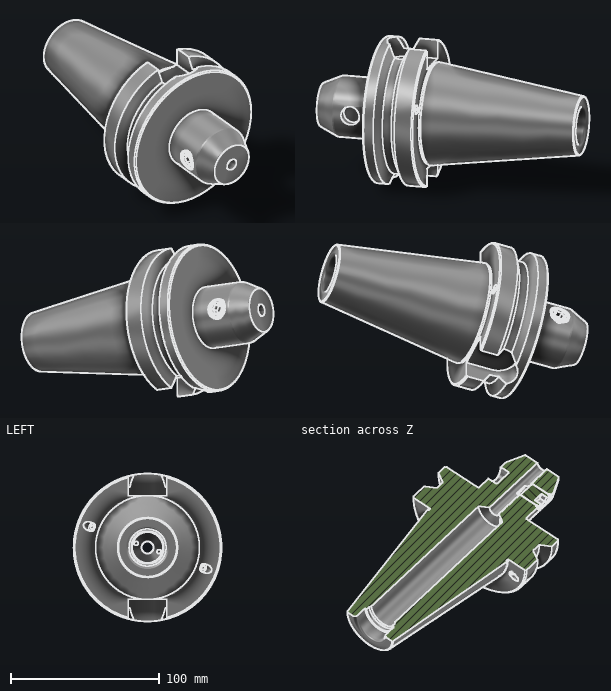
import cadquery as cq
import math

TOTAL_LENGTH = 181.8

TAPER_LENGTH = 102.2
TAPER_RADIUS = 35.0
TAPER_SLOPE = 7 / 48
TAPER_END_RADIUS = TAPER_RADIUS - TAPER_SLOPE * TAPER_LENGTH
TAPER_END_CHAMFER = 0.5
NECK_START = 103.3
NECK_RADIUS = 34.4

FLANGE_START = 104.7
FLANGE_END = 139.8
FLANGE_RADIUS = 50.0
FLANGE_CHAMFER = 0.9
GROOVE_CENTER = 124.7
GROOVE_FLOOR_RADIUS = 42.5
GROOVE_FLOOR_WIDTH = 6.2
GROOVE_WALL_ANGLE = 30.0

SLOT_HALF_WIDTH = 12.9
SLOT_FLOOR_HEIGHT = 35.0
SLOT_END = 135.8

NOSE_RADIUS = 20.9
NOSE_CONE_START = 168.7
NOSE_END_RADIUS = 15.3
NOSE_CONE_END = 181.0
NOSE_CHAMFER = 0.5
NOSE_BLEND_RADIUS = 2.7

COUNTERBORE_RADIUS = 12.5
COUNTERBORE_DEPTH = 10.4
COUNTERBORE_ROUNDING = 2.0
PILOT_RADIUS = 11.0
PILOT_END = 13.0
REAR_BORE_RADIUS = 10.4
REAR_BORE_START = 14.4
THROUGH_RADIUS = 4.0
BORE_CONE_START = 127.3
BORE_CONE_HALF_ANGLE = 59.0

CHANNEL_ROLL = 20.0
CHANNEL_SLANT = 45.0
CHANNEL_FACE_RADIUS = 41.8
CHANNEL_RADIUS = 1.36
CHANNEL_INNER_RADIUS = 8.2
CHANNEL_MOUTH_RADIUS = 2.9
CHANNEL_MOUTH_DEPTH = 2.7

SCREW_X = 159.3
SCREW_RADIUS = 6.0
SCREW_TOP = 20.7
SCREW_TIP = 4.7
SCREW_CHAMFER = 0.5
SCREW_HOLE_MOUTH_RADIUS = 6.9
SCREW_HOLE_MOUTH_FLOOR = 18.9
SOCKET_WIDTH = 6.0
SOCKET_DEPTH = 5.5
SOCKET_CHAMFER_RADIUS = 4.2
SOCKET_CHAMFER_DEPTH = 1.0

BALANCE_X = 156.5
BALANCE_RADIUS = 6.4
BALANCE_FLOOR = 13.6


def revolved(outline):
    """Solid of revolution about X from a list of (x, radius) points."""
    return cq.Workplane("XY").polyline(outline).close().revolve(360, (0, 0, 0), (1, 0, 0))


def cylinder(radius, length, start, direction):
    return cq.Workplane(cq.Solid.makeCylinder(radius, length, cq.Vector(*start), cq.Vector(*direction)))


def make_shank():
    """Taper and neck, reaching up to the flange."""
    return revolved([
        (0, 0),
        (0, TAPER_END_RADIUS - TAPER_END_CHAMFER),
        (TAPER_END_CHAMFER, TAPER_END_RADIUS + TAPER_SLOPE * TAPER_END_CHAMFER),
        (TAPER_LENGTH, TAPER_RADIUS),
        (NECK_START, TAPER_RADIUS),
        (NECK_START, NECK_RADIUS),
        (FLANGE_START, NECK_RADIUS),
        (FLANGE_START, 0),
    ])


def make_flange():
    wall_length = (FLANGE_RADIUS - GROOVE_FLOOR_RADIUS) * math.tan(math.radians(GROOVE_WALL_ANGLE))
    half_floor = GROOVE_FLOOR_WIDTH / 2
    half_mouth = half_floor + wall_length
    return revolved([
        (FLANGE_START, 0),
        (FLANGE_START, FLANGE_RADIUS - FLANGE_CHAMFER),
        (FLANGE_START + FLANGE_CHAMFER, FLANGE_RADIUS),
        (GROOVE_CENTER - half_mouth, FLANGE_RADIUS),
        (GROOVE_CENTER - half_floor, GROOVE_FLOOR_RADIUS),
        (GROOVE_CENTER + half_floor, GROOVE_FLOOR_RADIUS),
        (GROOVE_CENTER + half_mouth, FLANGE_RADIUS),
        (FLANGE_END - FLANGE_CHAMFER, FLANGE_RADIUS),
        (FLANGE_END, FLANGE_RADIUS - FLANGE_CHAMFER),
        (FLANGE_END, 0),
    ])


def make_nose():
    nose = revolved([
        (FLANGE_END, 0),
        (FLANGE_END, NOSE_RADIUS),
        (NOSE_CONE_START, NOSE_RADIUS),
        (NOSE_CONE_END, NOSE_END_RADIUS),
        (TOTAL_LENGTH, NOSE_END_RADIUS - NOSE_CHAMFER),
        (TOTAL_LENGTH, 0),
    ])
    cone_edge = cq.selectors.BoxSelector(
        (NOSE_CONE_START - NOSE_CHAMFER, -TOTAL_LENGTH, -TOTAL_LENGTH),
        (NOSE_CONE_START + NOSE_CHAMFER, TOTAL_LENGTH, TOTAL_LENGTH),
    )
    return nose.edges(cone_edge).fillet(NOSE_BLEND_RADIUS)


def make_drive_slot(side):
    """Cutter for one drive slot with a round end; side is +1 for +Z and -1 for -Z."""
    slot_length = SLOT_END - SLOT_HALF_WIDTH - FLANGE_START
    return (
        cq.Workplane("XY", origin=(FLANGE_START, 0, side * SLOT_FLOOR_HEIGHT))
        .moveTo(0, -SLOT_HALF_WIDTH)
        .lineTo(slot_length, -SLOT_HALF_WIDTH)
        .threePointArc((slot_length + SLOT_HALF_WIDTH, 0), (slot_length, SLOT_HALF_WIDTH))
        .lineTo(0, SLOT_HALF_WIDTH)
        .close()
        .extrude(side * FLANGE_RADIUS)
    )


def make_bore():
    """Cutter for the stepped axial bore with its rounded mouth."""
    cone_length = (REAR_BORE_RADIUS - THROUGH_RADIUS) / math.tan(math.radians(BORE_CONE_HALF_ANGLE))
    rounding_middle = COUNTERBORE_ROUNDING * (1 - math.sqrt(0.5))
    return (
        cq.Workplane("XY")
        .moveTo(0, 0)
        .lineTo(0, COUNTERBORE_RADIUS + COUNTERBORE_ROUNDING)
        .threePointArc(
            (rounding_middle, COUNTERBORE_RADIUS + rounding_middle),
            (COUNTERBORE_ROUNDING, COUNTERBORE_RADIUS),
        )
        .lineTo(COUNTERBORE_DEPTH, COUNTERBORE_RADIUS)
        .lineTo(COUNTERBORE_DEPTH, PILOT_RADIUS)
        .lineTo(PILOT_END, PILOT_RADIUS)
        .lineTo(REAR_BORE_START, REAR_BORE_RADIUS)
        .lineTo(BORE_CONE_START, REAR_BORE_RADIUS)
        .lineTo(BORE_CONE_START + cone_length, THROUGH_RADIUS)
        .lineTo(TOTAL_LENGTH, THROUGH_RADIUS)
        .lineTo(TOTAL_LENGTH, 0)
        .close()
        .revolve(360, (0, 0, 0), (1, 0, 0))
    )


def make_coolant_channel(roll):
    """Cutter for a slanted channel, its wider mouth and its axial hole, turned by roll degrees about X."""
    slant = math.radians(CHANNEL_SLANT)
    direction = (math.cos(slant), -math.sin(slant), 0)
    lead_in = CHANNEL_MOUTH_RADIUS * math.tan(slant)
    start = (FLANGE_START - lead_in * direction[0], CHANNEL_FACE_RADIUS - lead_in * direction[1], 0)
    inward_travel = CHANNEL_FACE_RADIUS - CHANNEL_INNER_RADIUS
    meeting_x = FLANGE_START + inward_travel / math.tan(slant)

    mouth = cylinder(CHANNEL_MOUTH_RADIUS, lead_in + CHANNEL_MOUTH_DEPTH, start, direction)
    channel = cylinder(CHANNEL_RADIUS, lead_in + inward_travel / math.sin(slant), start, direction)
    axial_start = (BORE_CONE_START, CHANNEL_INNER_RADIUS, 0)
    axial_length = meeting_x + CHANNEL_RADIUS - BORE_CONE_START
    axial_hole = cylinder(CHANNEL_RADIUS, axial_length, axial_start, (1, 0, 0))
    return mouth.union(channel).union(axial_hole).rotate((0, 0, 0), (1, 0, 0), roll)


def make_screw_hole():
    """Cutter for the clamping screw hole, which opens into the axial bore."""
    shaft = cylinder(SCREW_RADIUS, NOSE_RADIUS, (SCREW_X, 0, 0), (0, -1, 0))
    mouth = cylinder(SCREW_HOLE_MOUTH_RADIUS, NOSE_RADIUS, (SCREW_X, -SCREW_HOLE_MOUTH_FLOOR, 0), (0, -1, 0))
    return shaft.union(mouth)


def make_balance_hole():
    return cylinder(BALANCE_RADIUS, NOSE_RADIUS, (BALANCE_X, BALANCE_FLOOR, 0), (0, 1, 0))


def make_holder():
    holder = make_shank().union(make_flange()).union(make_nose())
    for side in (1, -1):
        holder = holder.cut(make_drive_slot(side))
    holder = holder.cut(make_bore())
    for half_turn in (0, 180):
        holder = holder.cut(make_coolant_channel(CHANNEL_ROLL + half_turn))
    return holder.cut(make_screw_hole()).cut(make_balance_hole())


def make_clamping_screw():
    """Set screw with a chamfered hexagon socket in its outer face."""
    outer_face = cq.Workplane("XZ", origin=(SCREW_X, -SCREW_TOP, 0))
    screw = (
        outer_face.circle(SCREW_RADIUS)
        .extrude(SCREW_TIP - SCREW_TOP)
        .edges()
        .chamfer(SCREW_CHAMFER)
    )
    corner_diameter = SOCKET_WIDTH / math.cos(math.radians(30))
    socket = outer_face.polygon(6, corner_diameter).extrude(-SOCKET_DEPTH)
    socket_chamfer = cq.Workplane(cq.Solid.makeCone(
        SOCKET_CHAMFER_RADIUS, SOCKET_CHAMFER_RADIUS - SOCKET_CHAMFER_DEPTH, SOCKET_CHAMFER_DEPTH,
        cq.Vector(SCREW_X, -SCREW_TOP, 0), cq.Vector(0, 1, 0),
    ))
    return screw.cut(socket).cut(socket_chamfer)


holder = make_holder()
clamping_screw = make_clamping_screw()

result = cq.Compound.makeCompound([holder.solids().val(), clamping_screw.solids().val()])